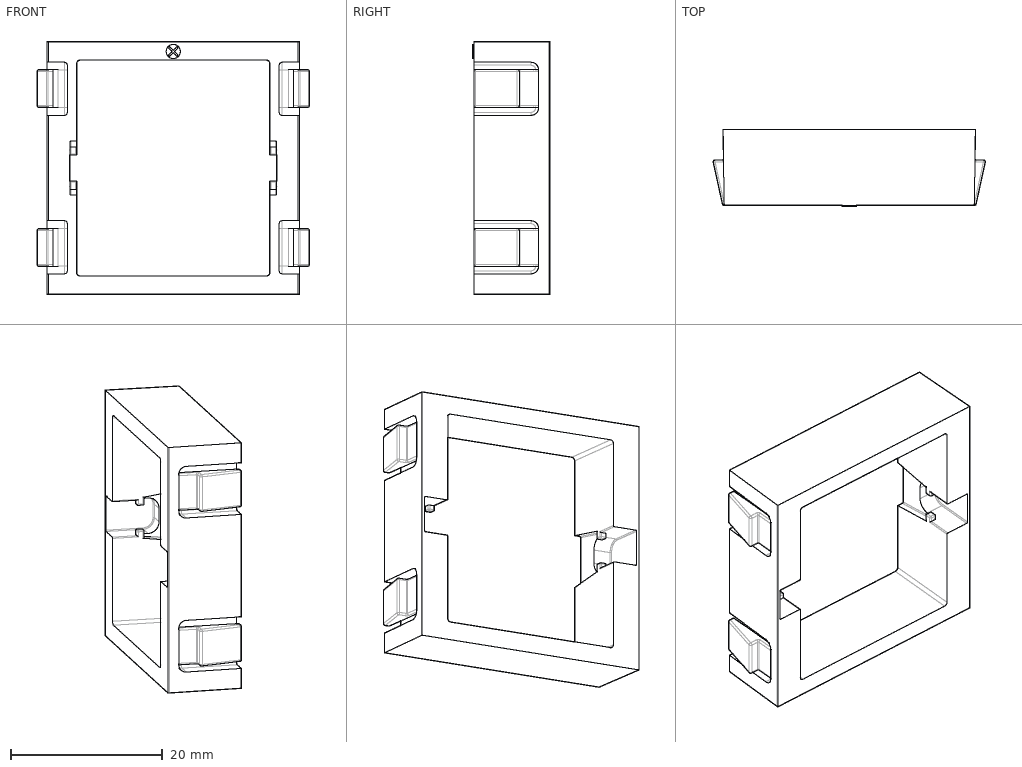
import cadquery as cq
import math

overall_width = 35.9
frame_size = 33.3
frame_depth = 10.0
side_draft = 0.18
straight_edge = 0.18

window_width = 25.4
window_height = 28.45
window_corner_radius = 0.43

recess_center_z = 10.45
recess_height = 7.0
recess_depth = 8.55
recess_floor_x = 13.95
recess_corner_radius = 1.0
recess_floor_radius = 0.4

clip_center_z = 10.5
clip_height = 5.0
clip_inner_x = 15.85
clip_outer_x = 16.6
barb_depth = 6.0
barb_front_x = 16.7
clip_edge_radius = 0.25
clip_root_radius = 0.7
barb_root_radius = 0.1

notch_x = 13.65
notch_front_half = 3.55
notch_ramp_half = 2.8
notch_edge_radius = 0.15
lip_front_y = 5.67
lip_half = 1.7
lip_thickness = 1.0
lip_edge_radius = 0.18
pocket_half = 2.4
pocket_floor_x = 16.25
pocket_length = 6.57
pocket_corner_radius = 1.5
pocket_rim_radius = 0.15

mark_radius = 0.95
mark_height = 0.15
mark_z = 15.35
cross_length = 1.58
cross_width = 0.2

overrun = 1.8

half_frame = frame_size / 2
window_half_width = window_width / 2


def mirror_x(shape):
    return shape.mirror("YZ")


def make_frame():
    front_half = half_frame - side_draft
    draft_start = frame_depth - straight_edge
    block = (
        cq.Workplane("XY")
        .workplane(offset=-half_frame)
        .polyline([
            (-front_half, 0),
            (front_half, 0),
            (half_frame, draft_start),
            (half_frame, frame_depth),
            (-half_frame, frame_depth),
            (-half_frame, draft_start),
        ])
        .close()
        .extrude(frame_size)
    )
    window = (
        cq.Workplane("XZ")
        .rect(window_width, window_height)
        .extrude(-frame_depth)
        .edges("|Y")
        .fillet(window_corner_radius)
    )
    return block.cut(window)


def make_clip_recess(center_z):
    """Recess in the right side, open to the front and to the outside."""
    reach = half_frame - recess_floor_x + overrun
    return (
        cq.Workplane("XY")
        .box(reach, recess_depth + overrun, recess_height, centered=(False, False, True))
        .translate((recess_floor_x, -overrun, center_z))
        .edges("|X and >Y")
        .fillet(recess_corner_radius)
        .faces("<X")
        .edges()
        .fillet(recess_floor_radius)
    )


def is_outer_clip_edge(edge):
    """True for end edges of the clip's front and outer faces, not of its inner face and root."""
    center = edge.Center()
    return center.x > (clip_inner_x + clip_outer_x) / 2 and center.y < recess_depth - clip_edge_radius


def is_barb_corner(edge):
    """True for the two upright edges at the ends of the barb's sloping face."""
    center = edge.Center()
    return center.x >= barb_front_x and center.y <= barb_depth


def make_clip(center_z):
    """Spring arm on the right side, rooted in the back wall of its recess, with a sloping barb."""
    slope_angle = math.atan2(barb_depth, overall_width / 2 - barb_front_x)
    tip_loss = clip_edge_radius * (1 / math.tan(slope_angle / 2) - 1)
    tip_x = overall_width / 2 + tip_loss
    root_y = recess_depth - clip_root_radius
    root_x = clip_inner_x - clip_root_radius
    bulge = clip_root_radius * (1 - math.sqrt(0.5))
    clip = (
        cq.Workplane("XY")
        .workplane(offset=center_z - clip_height / 2)
        .moveTo(clip_inner_x, 0)
        .lineTo(barb_front_x, 0)
        .lineTo(tip_x, barb_depth)
        .lineTo(clip_outer_x + barb_root_radius, barb_depth)
        .radiusArc((clip_outer_x, barb_depth + barb_root_radius), barb_root_radius)
        .lineTo(clip_outer_x, recess_depth)
        .lineTo(root_x, recess_depth)
        .threePointArc((clip_inner_x - bulge, recess_depth - bulge), (clip_inner_x, root_y))
        .close()
        .extrude(clip_height)
    )
    rounded = (
        clip.edges("#Z")
        .filter(is_outer_clip_edge)
        .add(clip.edges("|Z").filter(is_barb_corner))
    )
    return rounded.fillet(clip_edge_radius)


def make_latch_notch():
    """Notch in the right side that narrows toward the back and opens into a deeper pocket."""
    step_y = lip_front_y + lip_thickness / 2
    upper = [
        (0, notch_front_half),
        (lip_front_y, notch_ramp_half),
        (step_y, notch_ramp_half),
        (step_y, pocket_half),
        (frame_depth, pocket_half),
    ]
    lower = [(y, -z) for y, z in reversed(upper)]
    notch = (
        cq.Workplane("YZ")
        .polyline(upper + lower)
        .close()
        .extrude(notch_x)
        .faces(">X")
        .edges("not(|Y or |Z)")
        .fillet(notch_edge_radius)
    )
    length = pocket_length + overrun
    pocket = (
        cq.Workplane("YZ")
        .workplane(offset=notch_x)
        .center(frame_depth - pocket_length + length / 2, 0)
        .rect(length, 2 * pocket_half)
        .extrude(pocket_floor_x - notch_x)
        .edges("|X and <Y")
        .fillet(pocket_corner_radius)
        .faces(">X")
        .edges()
        .fillet(notch_edge_radius)
    )
    return notch.union(pocket)


def pocket_rim(side):
    """Selects the two long edges where a pocket meets the inner face of one side of the frame."""
    margin = 0.05
    return cq.selectors.BoxSelector(
        (side * (window_half_width - margin), lip_front_y, -pocket_half - margin),
        (side * (window_half_width + margin), frame_depth + margin, pocket_half + margin),
    )


def make_lip(side, end):
    """Rounded catch standing at the narrow end of the notch ramp; its base is sunk into the frame."""
    lip_width = notch_x - window_half_width
    return (
        cq.Workplane("XY")
        .box(lip_width, lip_thickness, notch_front_half - lip_half)
        .edges("|Z or >Z")
        .fillet(lip_edge_radius)
        .rotate((0, 0, 0), (0, 1, 0), 180 if end > 0 else 0)
        .translate((
            side * (window_half_width + notch_x) / 2,
            lip_front_y + lip_thickness / 2,
            end * (notch_front_half + lip_half) / 2,
        ))
    )


def make_mark():
    disc = cq.Workplane("XZ").center(0, mark_z).circle(mark_radius).extrude(mark_height)
    for angle in (45, -45):
        bar = (
            cq.Workplane("XZ")
            .rect(cross_length, cross_width)
            .extrude(mark_height)
            .rotate((0, 0, 0), (0, 1, 0), angle)
            .translate((0, 0, mark_z))
        )
        disc = disc.cut(bar)
    return disc


result = make_frame()

notch = make_latch_notch()
result = result.cut(notch).cut(mirror_x(notch))
for side in (1, -1):
    result = result.edges(pocket_rim(side)).edges("|Y").fillet(pocket_rim_radius)
    for end in (1, -1):
        result = result.union(make_lip(side, end))

for end in (1, -1):
    recess = make_clip_recess(end * recess_center_z)
    clip = make_clip(end * clip_center_z)
    result = result.cut(recess).cut(mirror_x(recess))
    result = result.union(clip).union(mirror_x(clip))

result = result.union(make_mark())